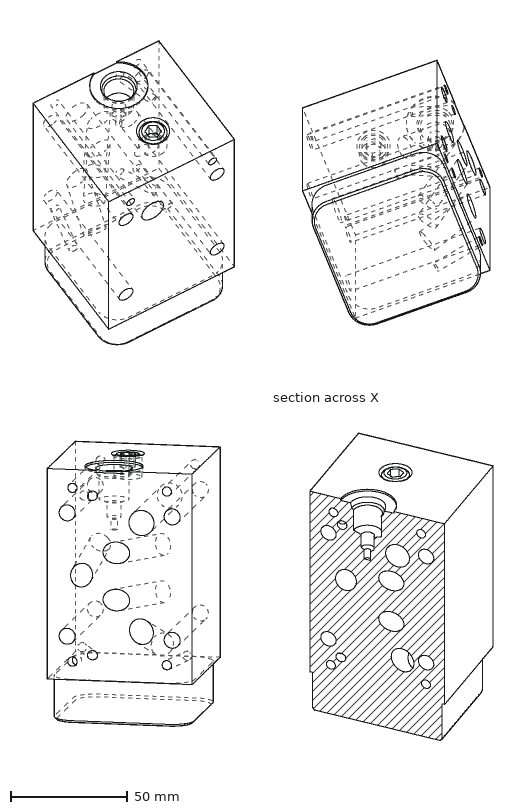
import cadquery as cq
import math

TOTAL_HEIGHT = 111.1
BLOCK_LENGTH = 61.9
BLOCK_WIDTH = 63.5
FOOT_HEIGHT = 19.0
FOOT_LENGTH = 60.0
FOOT_WIDTH = 61.1
FOOT_CORNER_RADIUS = 9.6
FOOT_CHAMFER = 1.0
BLOCK_HEIGHT = TOTAL_HEIGHT - FOOT_HEIGHT
BLOCK_MID_Z = FOOT_HEIGHT + BLOCK_HEIGHT / 2
PORT_FACE_X = -BLOCK_LENGTH / 2

BOLT_DIAMETER = 7.0
BOLT_SPACING_Y = 46.0
BOLT_SPACING_Z = 54.0
PIN_DIAMETER = 4.0
PIN_SPACING_Y = 41.3
PIN_SPACING_Z = 76.0
CROSS_BORE_DIAMETER = 11.0
CROSS_BORE_Y = -9.6
CROSS_BORE_Z = 88.9

SLANT_DEPTH = 22.2
SMALL_SLANT_DEPTH = 16.7
CHANNEL_DIAMETER = 9.5
CHANNEL_Y = 1.5
CHANNEL_SPACING_Z = 20.7
SIDE_CHANNEL_Y = 16.7
LOWER_CHANNEL_DIAMETER = 10.2
LOWER_CHANNEL_Z = 41.3
PILOT_LINE_DIAMETER = 4.0
PILOT_LINE_Y = 11.9
PILOT_LINE_SPACING_Z = 69.8
UPPER_PILOT_LINE_Z = BLOCK_MID_Z + PILOT_LINE_SPACING_Z / 2
LOWER_PILOT_LINE_Z = BLOCK_MID_Z - PILOT_LINE_SPACING_Z / 2
LOWER_PIN_Z = BLOCK_MID_Z - PIN_SPACING_Z / 2

SLANTED_DRILLINGS = [
    (CHANNEL_DIAMETER, (CHANNEL_Y, BLOCK_MID_Z + CHANNEL_SPACING_Z / 2), (-0.72, 0), SLANT_DEPTH),
    (CHANNEL_DIAMETER, (CHANNEL_Y, BLOCK_MID_Z - CHANNEL_SPACING_Z / 2), (-0.72, 0), SLANT_DEPTH),
    (CHANNEL_DIAMETER, (SIDE_CHANNEL_Y, BLOCK_MID_Z), (-0.17, 0.46), SLANT_DEPTH),
    (LOWER_CHANNEL_DIAMETER, (CROSS_BORE_Y, LOWER_CHANNEL_Z), (-0.21, -0.44), SLANT_DEPTH),
    (PILOT_LINE_DIAMETER, (PILOT_LINE_Y, UPPER_PILOT_LINE_Z), (0.42, -0.2), SMALL_SLANT_DEPTH),
    (PILOT_LINE_DIAMETER, (PILOT_LINE_Y, LOWER_PILOT_LINE_Z), (0.47, 0), SMALL_SLANT_DEPTH),
    (PIN_DIAMETER, (PIN_SPACING_Y / 2, LOWER_PIN_Z), (0.11, -0.17), SLANT_DEPTH),
    (PIN_DIAMETER, (-PIN_SPACING_Y / 2, LOWER_PIN_Z), (-0.2, 0), SLANT_DEPTH),
]

PORT_X = -19.8
PORT_Y = 4.7
SPOTFACE_DIAMETER = 25.0
SPOTFACE_DEPTH = 0.9
SEAL_TOP_DIAMETER = 15.8
SEAL_BOTTOM_DIAMETER = 14.7
SEAL_DEPTH = 2.5
THREAD_DIAMETER = 12.9
THREAD_DEPTH = 14.5
PILOT_DIAMETER = 6.0
PILOT_DEPTH = 22.2
ORIFICE_DIAMETER = 2.8
ORIFICE_DEPTH = 27.8
PORT_POINT_ANGLE = 140.0
ORIFICE_POINT_ANGLE = 118.0

PLUG_X = 8.8
PLUG_Y = 4.3
PLUG_DIAMETER = 12.0
PLUG_CHAMFER = 1.1
PLUG_LENGTH = 10.0
PLUG_RECESS = 0.2
PLUG_HOLE_MOUTH = 14.2
SOCKET_FLATS = 6.1
SOCKET_DEPTH = 5.6
SOCKET_POINT_ANGLE = 118.0


def cone_height(large_diameter, small_diameter, point_angle):
    """Height of a drill-point cone between two diameters."""
    half_angle = math.radians(point_angle / 2)
    return (large_diameter - small_diameter) / 2 / math.tan(half_angle)


def turned(profile, x, y):
    """Solid turned about the vertical axis at (x, y) from (radius, z) points."""
    solid = cq.Workplane("XZ").polyline(profile).close().revolve(360, (0, 0), (0, 1))
    return solid.translate((x, y, 0))


def make_envelope():
    """Square block standing on a slightly smaller foot with rounded corners."""
    foot = cq.Workplane("XY").rect(FOOT_LENGTH, FOOT_WIDTH).extrude(FOOT_HEIGHT)
    foot = foot.edges("|Z").fillet(FOOT_CORNER_RADIUS).faces("<Z").edges().chamfer(FOOT_CHAMFER)
    block = (
        cq.Workplane("XY", origin=(0, 0, FOOT_HEIGHT))
        .rect(BLOCK_LENGTH, BLOCK_WIDTH)
        .extrude(BLOCK_HEIGHT)
    )
    return block.union(foot)


def cross_holes(diameter, centres):
    """Cylinders through the whole block along X at (y, z) centres."""
    return (
        cq.Workplane("YZ", origin=(PORT_FACE_X, 0, 0))
        .pushPoints(centres)
        .circle(diameter / 2)
        .extrude(BLOCK_LENGTH)
    )


def slanted_drilling(diameter, mouth_yz, drift_yz, depth):
    """Cylinder that enters the -X face and drifts sideways on its way in."""
    mouth = cq.Vector(PORT_FACE_X, *mouth_yz)
    slant = cq.Vector(1, *drift_yz)
    start = mouth - slant * diameter
    length = slant.Length * (depth + diameter)
    return cq.Workplane(cq.Solid.makeCylinder(diameter / 2, length, start, slant))


def port_cutter():
    """Stepped port: spotface, tapered seal seat, thread bore, pilot and orifice."""
    seat_z = TOTAL_HEIGHT - SPOTFACE_DEPTH
    seal_z = seat_z - SEAL_DEPTH
    thread_top_z = seal_z - (SEAL_BOTTOM_DIAMETER - THREAD_DIAMETER) / 2
    thread_z = TOTAL_HEIGHT - THREAD_DEPTH
    pilot_top_z = thread_z - cone_height(THREAD_DIAMETER, PILOT_DIAMETER, PORT_POINT_ANGLE)
    pilot_z = TOTAL_HEIGHT - PILOT_DEPTH
    orifice_top_z = pilot_z - cone_height(PILOT_DIAMETER, ORIFICE_DIAMETER, ORIFICE_POINT_ANGLE)
    orifice_z = TOTAL_HEIGHT - ORIFICE_DEPTH
    profile = [
        (0, TOTAL_HEIGHT),
        (SPOTFACE_DIAMETER / 2, TOTAL_HEIGHT),
        (SPOTFACE_DIAMETER / 2, seat_z),
        (SEAL_TOP_DIAMETER / 2, seat_z),
        (SEAL_BOTTOM_DIAMETER / 2, seal_z),
        (THREAD_DIAMETER / 2, thread_top_z),
        (THREAD_DIAMETER / 2, thread_z),
        (PILOT_DIAMETER / 2, pilot_top_z),
        (PILOT_DIAMETER / 2, pilot_z),
        (ORIFICE_DIAMETER / 2, orifice_top_z),
        (ORIFICE_DIAMETER / 2, orifice_z),
        (0, orifice_z),
    ]
    return turned(profile, PORT_X, PORT_Y)


def plug_hole_cutter():
    """Countersunk blind hole that the plug fills to its bottom."""
    countersink_z = TOTAL_HEIGHT - (PLUG_HOLE_MOUTH - PLUG_DIAMETER) / 2
    bottom_z = TOTAL_HEIGHT - PLUG_RECESS - PLUG_LENGTH
    profile = [
        (0, TOTAL_HEIGHT),
        (PLUG_HOLE_MOUTH / 2, TOTAL_HEIGHT),
        (PLUG_DIAMETER / 2, countersink_z),
        (PLUG_DIAMETER / 2, bottom_z),
        (0, bottom_z),
    ]
    return turned(profile, PLUG_X, PLUG_Y)


def make_housing():
    """Block and foot in one piece, with all its drillings."""
    body = make_envelope()
    bolts = [
        (side * BOLT_SPACING_Y / 2, BLOCK_MID_Z + level * BOLT_SPACING_Z / 2)
        for side in (-1, 1)
        for level in (-1, 1)
    ]
    upper_pins = [(side * PIN_SPACING_Y / 2, BLOCK_MID_Z + PIN_SPACING_Z / 2) for side in (-1, 1)]
    body = body.cut(cross_holes(BOLT_DIAMETER, bolts))
    body = body.cut(cross_holes(PIN_DIAMETER, upper_pins))
    body = body.cut(cross_holes(CROSS_BORE_DIAMETER, [(CROSS_BORE_Y, CROSS_BORE_Z)]))
    for drilling in SLANTED_DRILLINGS:
        body = body.cut(slanted_drilling(*drilling))
    return body.cut(port_cutter()).cut(plug_hole_cutter())


def make_plug():
    """Round plug with a chamfered rim and a hexagon socket ending in a drill point."""
    top_z = TOTAL_HEIGHT - PLUG_RECESS
    plug = (
        cq.Workplane("XY", origin=(PLUG_X, PLUG_Y, top_z))
        .circle(PLUG_DIAMETER / 2)
        .extrude(-PLUG_LENGTH)
        .faces(">Z")
        .chamfer(PLUG_CHAMFER)
    )
    socket_corners = SOCKET_FLATS / math.cos(math.pi / 6)
    socket = (
        cq.Workplane("XY", origin=(PLUG_X, PLUG_Y, top_z))
        .polygon(6, socket_corners)
        .extrude(-SOCKET_DEPTH)
    )
    socket_z = top_z - SOCKET_DEPTH
    point_z = socket_z - cone_height(SOCKET_FLATS, 0, SOCKET_POINT_ANGLE)
    point = turned([(0, socket_z), (SOCKET_FLATS / 2, socket_z), (0, point_z)], PLUG_X, PLUG_Y)
    return plug.cut(socket).cut(point)


housing = make_housing()
plug = make_plug()
result = cq.Compound.makeCompound([housing.val(), plug.val()])